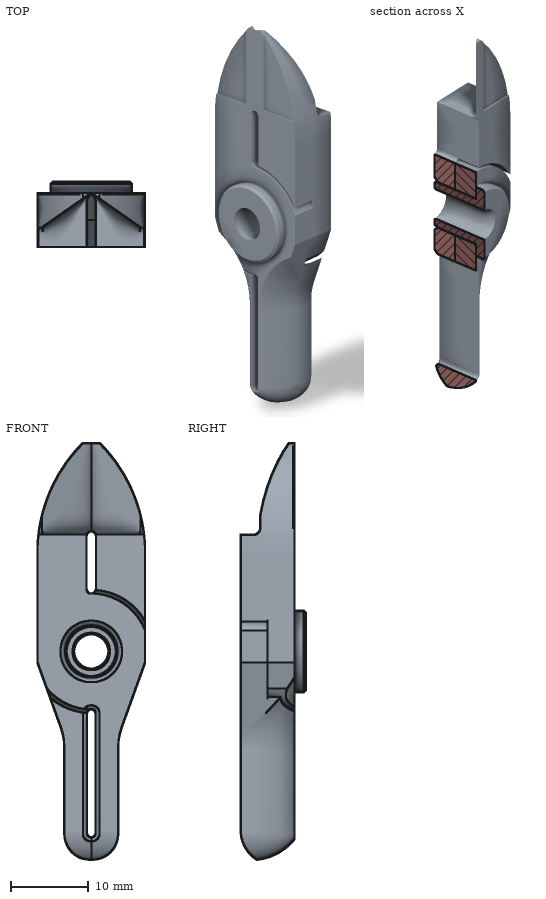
import cadquery as cq
import math


LENGTH = 54.0
TIP_Z = LENGTH / 2
END_Z = -LENGTH / 2
HALF_WIDTH = 14.0 / 2
HALF_THICK = 3.5
FRONT_Y = -HALF_THICK
BACK_Y = HALF_THICK
FRONT_LAYER = (FRONT_Y, 0)
BACK_LAYER = (0, BACK_Y)

NOSE_START_Z = 12.8
NOSE_RADIUS = 20.05
STEP_Z = 15.1
BEVEL_SLOPE = 0.7
BEVEL_FRONT_Y = -0.95
BEVEL_FILLET = 0.85
BACK_LEDGE_Z = 16.0
BACK_RELIEF = 0.2
BACK_LAND_HALF_WIDTH = 1.5

HANDLE_HALF_WIDTH = 3.5
FLARE_ANGLE = math.radians(19.8)
FLARE_RADIUS = 7.35
FLARE_CENTER_Z = -12.35
ROUNDING_START_Y = -2.2
ROUNDING_RADIUS = 7.3
TOE_START_Z = -23.1
TOE_RADIUS = 4.6

TOE_ANGLE = math.asin((TOE_START_Z - END_Z) / TOE_RADIUS)
TOE_TIP_Y = FRONT_Y + TOE_RADIUS * (1 - math.cos(TOE_ANGLE))
TOE_TIP_DEPTH = ROUNDING_RADIUS - math.sqrt(ROUNDING_RADIUS**2 - (TOE_TIP_Y - ROUNDING_START_Y) ** 2)
OUTLINE_END_Z = END_Z - TOE_TIP_DEPTH
END_CENTER_Z = OUTLINE_END_Z + HANDLE_HALF_WIDTH

HUB_RADIUS = 7.5
HUB_GAP = 0.5
UPPER_SLOT_WIDTH = 1.2
UPPER_SLOT_TOP = 15.55
LOWER_SLOT_WIDTH = 1.1
LOWER_SLOT_BOTTOM = -24.1
LOWER_SLOT_CHAMFER = 0.55

PIN_RADIUS = 3.4
PIN_BORE_RADIUS = 2.2
PIN_END_CHAMFER = 0.2
HEAD_RADIUS = 5.3
HEAD_BACK_Y = 4.95
HEAD_CHAMFER = 0.3
COUNTERSINK = 0.6

MARGIN = 1.1


def prism_y(sketch, y_start, y_end):
    """Extrude an XZ sketch between two Y positions."""
    return sketch.extrude(y_start - y_end).translate((0, y_start, 0))


def outline():
    """Silhouette of the closed jaws in the XZ plane."""
    flare_x = HANDLE_HALF_WIDTH + FLARE_RADIUS * (1 - math.cos(FLARE_ANGLE))
    flare_z = FLARE_CENTER_Z + FLARE_RADIUS * math.sin(FLARE_ANGLE)
    flare_mid_x = HANDLE_HALF_WIDTH + FLARE_RADIUS * (1 - math.cos(FLARE_ANGLE / 2))
    flare_mid_z = FLARE_CENTER_Z + FLARE_RADIUS * math.sin(FLARE_ANGLE / 2)
    shoulder_z = flare_z + (HALF_WIDTH - flare_x) / math.tan(FLARE_ANGLE)

    nose_center_x = HALF_WIDTH - NOSE_RADIUS
    nose_angle = math.asin((TIP_Z - NOSE_START_Z) / NOSE_RADIUS)
    tip_x = nose_center_x + NOSE_RADIUS * math.cos(nose_angle)
    nose_mid_x = nose_center_x + NOSE_RADIUS * math.cos(nose_angle / 2)
    nose_mid_z = NOSE_START_Z + NOSE_RADIUS * math.sin(nose_angle / 2)

    return (
        cq.Workplane("XZ")
        .moveTo(-HANDLE_HALF_WIDTH, END_CENTER_Z)
        .threePointArc((0, OUTLINE_END_Z), (HANDLE_HALF_WIDTH, END_CENTER_Z))
        .lineTo(HANDLE_HALF_WIDTH, FLARE_CENTER_Z)
        .threePointArc((flare_mid_x, flare_mid_z), (flare_x, flare_z))
        .lineTo(HALF_WIDTH, shoulder_z)
        .lineTo(HALF_WIDTH, NOSE_START_Z)
        .threePointArc((nose_mid_x, nose_mid_z), (tip_x, TIP_Z))
        .lineTo(-tip_x, TIP_Z)
        .threePointArc((-nose_mid_x, nose_mid_z), (-HALF_WIDTH, NOSE_START_Z))
        .lineTo(-HALF_WIDTH, shoulder_z)
        .lineTo(-flare_x, flare_z)
        .threePointArc((-flare_mid_x, flare_mid_z), (-HANDLE_HALF_WIDTH, FLARE_CENTER_Z))
        .close()
    )


def rounding_profile(z, outer_x):
    """XY section between the curved back-left corner of the handle and X = outer_x."""
    angle = math.asin((BACK_Y - ROUNDING_START_Y) / ROUNDING_RADIUS)

    def arc_point(turn):
        x = -HANDLE_HALF_WIDTH + ROUNDING_RADIUS * (1 - math.cos(turn))
        return x, ROUNDING_START_Y + ROUNDING_RADIUS * math.sin(turn)

    return (
        cq.Workplane("XY", origin=(0, 0, z))
        .moveTo(outer_x, ROUNDING_START_Y)
        .lineTo(-HANDLE_HALF_WIDTH, ROUNDING_START_Y)
        .threePointArc(arc_point(angle / 2), arc_point(angle))
        .lineTo(outer_x, BACK_Y)
        .close()
    )


def handle_rounding():
    """Waste that curves the handle's back edges along its sides, flare and end."""
    outer_x = -HANDLE_HALF_WIDTH - MARGIN
    flare_axis_x = -HANDLE_HALF_WIDTH - FLARE_RADIUS
    sides = rounding_profile(END_CENTER_Z, outer_x).extrude(FLARE_CENTER_Z - END_CENTER_Z)
    flare = rounding_profile(FLARE_CENTER_Z, flare_axis_x).revolve(
        360, (flare_axis_x, 0, 0), (flare_axis_x, 1, 0)
    )
    end = rounding_profile(END_CENTER_Z, outer_x).revolve(180, (0, 0, 0), (0, -1, 0))
    return [sides, sides.mirror("YZ"), flare, flare.mirror("YZ"), end]


def toe_waste():
    """Waste in front of the arc that curves the handle's front face backward."""
    mid_y = FRONT_Y + TOE_RADIUS * (1 - math.cos(TOE_ANGLE / 2))
    mid_z = TOE_START_Z - TOE_RADIUS * math.sin(TOE_ANGLE / 2)
    return (
        cq.Workplane("YZ")
        .moveTo(FRONT_Y, TOE_START_Z)
        .threePointArc((mid_y, mid_z), (TOE_TIP_Y, END_Z))
        .lineTo(TOE_TIP_Y, END_Z - MARGIN)
        .lineTo(FRONT_Y, END_Z - MARGIN)
        .close()
        .extrude(HALF_WIDTH, both=True)
    )


def slot(width, z_low, z_high):
    """Round-ended vertical slot through the full thickness."""
    sketch = cq.Workplane("XZ").center(0, (z_low + z_high) / 2).slot2D(z_high - z_low, width, 90)
    return prism_y(sketch, FRONT_Y, BACK_Y)


def nose_relief():
    """Shallow waste on the back of the nose, beside the middle land."""
    width = HALF_WIDTH + MARGIN
    height = TIP_Z + MARGIN - BACK_LEDGE_Z
    right = (
        cq.Workplane("XY")
        .box(width, BACK_RELIEF, height, centered=False)
        .translate((BACK_LAND_HALF_WIDTH, BACK_Y - BACK_RELIEF, BACK_LEDGE_Z))
    )
    return right.union(right.mirror("YZ"))


def jaw_blank():
    """Both jaws as one closed block, before they are parted."""
    blank = prism_y(outline(), FRONT_Y, BACK_Y)
    for waste in handle_rounding():
        blank = blank.cut(waste)
    blank = blank.cut(toe_waste()).cut(nose_relief())

    blank = blank.cut(slot(LOWER_SLOT_WIDTH, LOWER_SLOT_BOTTOM, -HUB_RADIUS))
    front_slot_rim = cq.selectors.BoxSelector(
        (-LOWER_SLOT_WIDTH, FRONT_Y - MARGIN, LOWER_SLOT_BOTTOM),
        (LOWER_SLOT_WIDTH, FRONT_Y + LOWER_SLOT_CHAMFER, -HUB_RADIUS),
    )
    blank = blank.edges(front_slot_rim).chamfer(LOWER_SLOT_CHAMFER)

    blank = blank.cut(slot(UPPER_SLOT_WIDTH, HUB_RADIUS, UPPER_SLOT_TOP))
    pin_hole = prism_y(cq.Workplane("XZ").circle(PIN_RADIUS), FRONT_Y, BACK_Y)
    countersink = cq.Workplane("XY").add(
        cq.Solid.makeCone(
            PIN_RADIUS + COUNTERSINK, PIN_RADIUS, COUNTERSINK, cq.Vector(0, FRONT_Y, 0), cq.Vector(0, 1, 0)
        )
    )
    return blank.cut(pin_hole).cut(countersink)


def disc(radius, layer):
    """Cylinder about the pivot axis through one lap layer."""
    return prism_y(cq.Workplane("XZ").circle(radius), *layer)


def opposite_quarters(upper_side, layer):
    """One lap layer's quarter above the pivot on upper_side (-1 or 1) and the quarter across from it."""
    x = upper_side * LENGTH / 2
    z = LENGTH / 2
    sketch = cq.Workplane("XZ").pushPoints([(x, z), (-x, -z)]).rect(LENGTH, LENGTH)
    return prism_y(sketch, *layer)


def bevel_waste(side):
    """Waste in front of one cutting face, with a filleted floor."""
    apex_run = (BACK_Y - BEVEL_FRONT_Y) / BEVEL_SLOPE
    outer_x = side * (HALF_WIDTH + MARGIN)
    inner_x = -side * MARGIN
    waste = (
        cq.Workplane("XY", origin=(0, 0, STEP_Z))
        .moveTo(outer_x, FRONT_Y - MARGIN)
        .lineTo(outer_x, BEVEL_FRONT_Y)
        .lineTo(side * apex_run, BEVEL_FRONT_Y)
        .lineTo(inner_x, BACK_Y + MARGIN * BEVEL_SLOPE)
        .lineTo(inner_x, FRONT_Y - MARGIN)
        .close()
        .extrude(TIP_Z + MARGIN - STEP_Z)
    )
    floor_corners = cq.selectors.BoxSelector(
        (-HALF_WIDTH - MARGIN, BEVEL_FRONT_Y - MARGIN, STEP_Z - MARGIN),
        (HALF_WIDTH + MARGIN, BACK_Y - MARGIN, STEP_Z + MARGIN),
    )
    return waste.faces("<Z").edges(floor_corners).fillet(BEVEL_FILLET)


def jaw(upper_side, hub_layer, plain_layer):
    """One jaw, cutting on upper_side: a hub disc in hub_layer, clear of the other hub in plain_layer."""
    hub_part = opposite_quarters(upper_side, hub_layer).union(disc(HUB_RADIUS, hub_layer))
    plain_part = opposite_quarters(upper_side, plain_layer).cut(disc(HUB_RADIUS + HUB_GAP, plain_layer))
    region = hub_part.union(plain_part)
    return jaw_blank().intersect(region).cut(bevel_waste(upper_side))


def pivot_pin():
    """Hollow pin, flush in front, with a flat head on the back."""
    shank = prism_y(cq.Workplane("XZ").circle(PIN_RADIUS), FRONT_Y, BACK_Y)
    head = prism_y(cq.Workplane("XZ").circle(HEAD_RADIUS), BACK_Y, HEAD_BACK_Y)
    head = head.faces(">Y").edges().chamfer(HEAD_CHAMFER)
    bore = prism_y(cq.Workplane("XZ").circle(PIN_BORE_RADIUS), FRONT_Y, HEAD_BACK_Y)
    pin = shank.union(head).cut(bore)
    return pin.faces("<Y").edges().chamfer(PIN_END_CHAMFER)


left_jaw = jaw(-1, FRONT_LAYER, BACK_LAYER)
right_jaw = jaw(1, BACK_LAYER, FRONT_LAYER)
pin = pivot_pin()
result = cq.Compound.makeCompound(
    [left_jaw.solids().val(), right_jaw.solids().val(), pin.solids().val()]
)